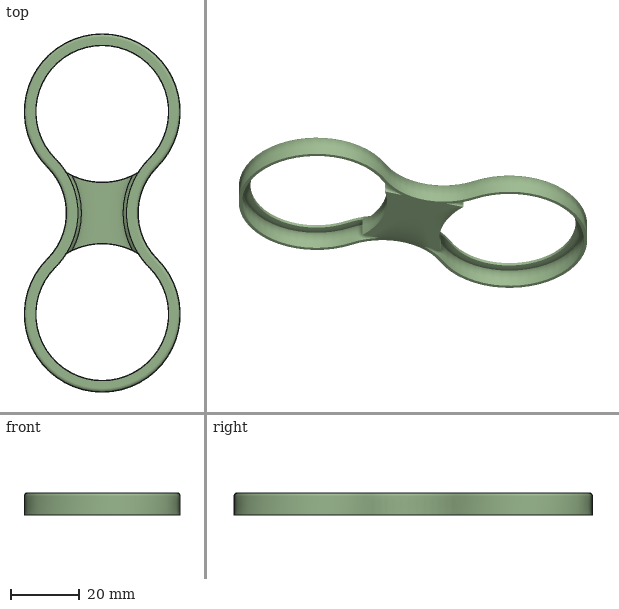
import cadquery as cq
import math

width = 45.34
length = 104.2
height = 6.5

ring_radius = width / 2
ring_centre_y = length / 2 - ring_radius
neck_half_width = 10.45

wall = 1.0
lip_width = 3.4
lip_thickness = 0.9
top_fillet = 1.0

web_width = 21.4
web_top = 5.1
web_hole_radius = 20.5
web_slope_run = 1.0

neck_radius = (
    (ring_centre_y**2 + neck_half_width**2 - ring_radius**2)
    / (2 * (ring_radius - neck_half_width))
)
neck_centre_x = neck_half_width + neck_radius


def figure_eight(inset, z=0.0):
    """Closed outline moved inward by `inset`, on the plane at height z."""
    ring = ring_radius - inset
    neck = neck_radius + inset
    share = ring / (ring + neck)
    tangent_x = neck_centre_x * share
    tangent_y = ring_centre_y * (1 - share)
    waist_x = neck_centre_x - neck
    end_y = ring_centre_y + ring
    return (
        cq.Workplane("XY", origin=(0, 0, z))
        .moveTo(tangent_x, tangent_y)
        .threePointArc((0, end_y), (-tangent_x, tangent_y))
        .threePointArc((-waist_x, 0), (-tangent_x, -tangent_y))
        .threePointArc((0, -end_y), (tangent_x, -tangent_y))
        .threePointArc((waist_x, 0), (tangent_x, tangent_y))
        .close()
    )


def make_body():
    """Solid figure-eight with its top edge rounded."""
    return figure_eight(0).extrude(height).faces(">Z").edges().fillet(top_fillet)


def make_shell(body):
    """Thin outer wall with an inward lip along its top."""
    cavity = figure_eight(wall).extrude(height - lip_thickness)
    opening = figure_eight(lip_width).extrude(height)
    return body.cut(cavity).cut(opening)


def make_web(body):
    """Neck filling with round ends and a recessed floor with sloped sides."""
    web_length = 2 * ring_centre_y
    block = cq.Workplane("XY").rect(web_width, web_length).extrude(height)
    ring_holes = (
        cq.Workplane("XY")
        .pushPoints([(0, ring_centre_y), (0, -ring_centre_y)])
        .circle(web_hole_radius)
        .extrude(height)
    )
    slope_angle = math.degrees(math.atan2(web_slope_run, height - web_top))
    floor_outline = figure_eight(lip_width + web_slope_run, web_top)
    recess = floor_outline.extrude(height - web_top, taper=-slope_angle)
    return block.intersect(body).cut(ring_holes).cut(recess)


body = make_body()
result = make_shell(body).union(make_web(body))